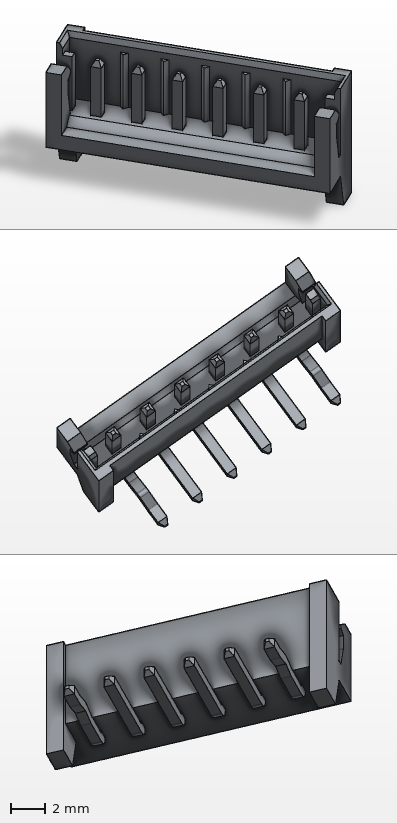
import cadquery as cq
import math


length = 17.5
overall_height = 8.3
base_bottom = 2.3
floor_height = 3.8
front_floor = 3.27
wall_front = 2.05
wall_rear = 3.83
lug_rear = 4.2
lug_width = 1.07
foot_tip_front = 2.66

end_wall = 0.38
back_wall = 0.42
rim_chamfer_height = 0.37
rim_side_width = 0.2
rim_rear_width = 0.15

bevel_rear = 1.52
bevel_run = floor_height - front_floor

post_width = 0.96
post_top = 7.4
post_lead_in = 1.05
nose_depth = 1.72
nose_top = 6.82
nose_bottom = 6.53
neck_depth = 1.31
neck_top = 6.3
neck_bottom = 5.3

rib_top = 7.49
guide_rear = 2.73
guide_bevel = 0.21
key_half_width = 0.25
key_depth = 0.26

pin_count = 6
pitch = 2.5
pin_size = 0.65
pin_front = 1.87
pin_top = 7.49
tail_bottom = 1.47
tail_end = 7.5
tip_length = 0.37
tip_size = 0.23
kink_centre = 5.2
kink_rise = 0.23
kink_angle = math.radians(14)

pin_rear = pin_front + pin_size
tail_top = tail_bottom + pin_size
pin_xs = [(i - (pin_count - 1) / 2) * pitch for i in range(pin_count)]
key_xs = [(left + right) / 2 for left, right in zip(pin_xs, pin_xs[1:])]
cavity_rear = wall_rear - back_wall
half_length = length / 2


def box(x0, x1, y0, y1, z0, z1):
    return cq.Workplane("XY").box(x1 - x0, y1 - y0, z1 - z0, centered=False).translate((x0, y0, z0))


def extrude_yz(profile, x0, x1):
    """Extrude a closed Y-Z profile from x0 to x1."""
    return profile.extrude(x1 - x0).translate((x0, 0, 0))


def on_both_ends(left_piece):
    return left_piece.union(left_piece.mirror("YZ"))


def shell():
    """Base and surrounding walls, open at the top and at the front."""
    block = box(-half_length, half_length, wall_front, wall_rear, base_bottom, overall_height)
    inner = half_length - end_wall
    cavity = box(-inner, inner, wall_front, cavity_rear, floor_height, overall_height)
    return block.cut(cavity).cut(rim_chamfer())


def rim_chamfer():
    """Tapered cutter that widens the cavity mouth, centred on the front edge of the end walls."""
    mouth_length = length - 2 * end_wall
    mouth_depth = 2 * (cavity_rear - wall_front)
    return (
        cq.Workplane("XY", origin=(0, wall_front, overall_height - rim_chamfer_height))
        .rect(mouth_length, mouth_depth)
        .workplane(offset=rim_chamfer_height)
        .rect(mouth_length + 2 * rim_side_width, mouth_depth + 2 * rim_rear_width)
        .loft()
    )


def front_base():
    """Base ahead of the pins, with a bevel down to its lower front step."""
    profile = cq.Workplane("YZ").polyline([
        (0, base_bottom),
        (0, front_floor),
        (bevel_rear - bevel_run, front_floor),
        (bevel_rear, floor_height),
        (wall_front, floor_height),
        (wall_front, base_bottom),
    ]).close()
    return extrude_yz(profile, -half_length, half_length)


def latch_posts():
    profile = cq.Workplane("YZ").polyline([
        (0, base_bottom),
        (0, post_top),
        (post_lead_in, post_top),
        (nose_depth, nose_top),
        (nose_depth, nose_bottom),
        (neck_depth, neck_top),
        (neck_depth, neck_bottom),
        (nose_depth, floor_height),
        (nose_depth, base_bottom),
    ]).close()
    return on_both_ends(extrude_yz(profile, -half_length, -half_length + post_width))


def corner_lugs():
    """Rear corner pads that run down into the tapered feet."""
    pad = box(-half_length, -half_length + lug_width, wall_rear, lug_rear, base_bottom, overall_height)
    foot_profile = cq.Workplane("YZ").polyline([
        (wall_front, base_bottom),
        (lug_rear, base_bottom),
        (lug_rear, 0),
        (foot_tip_front, 0),
    ]).close()
    foot = extrude_yz(foot_profile, -half_length, -half_length + lug_width)
    return on_both_ends(pad.union(foot))


def guide_ribs():
    """Ribs on the inside of the end walls, bevelled at the top rear edge."""
    profile = cq.Workplane("YZ").polyline([
        (wall_front, floor_height),
        (guide_rear, floor_height),
        (guide_rear, rib_top - guide_bevel),
        (guide_rear - guide_bevel, rib_top),
        (wall_front, rib_top),
    ]).close()
    return on_both_ends(extrude_yz(profile, -half_length + end_wall, -half_length + post_width))


def key_rib(x):
    """Triangular rib on the back wall, midway between two pins."""
    return (
        cq.Workplane("XY", origin=(x, cavity_rear, floor_height))
        .polyline([(-key_half_width, 0), (0, -key_depth), (key_half_width, 0)])
        .close()
        .extrude(rib_top - floor_height)
    )


def pin_hole(x):
    half = pin_size / 2
    return box(x - half, x + half, pin_front, pin_rear, base_bottom, floor_height)


def make_housing():
    housing = shell().union(front_base()).union(latch_posts()).union(corner_lugs()).union(guide_ribs())
    for x in key_xs:
        housing = housing.union(key_rib(x))
    for x in pin_xs:
        housing = housing.cut(pin_hole(x))
    return housing


def pin_tip(plane):
    """Frustum that tapers the end of a pin, starting at the origin of the given plane."""
    return (
        cq.Workplane(plane)
        .rect(pin_size, pin_size)
        .workplane(offset=tip_length)
        .rect(tip_size, tip_size)
        .loft()
    )


def pin_profile(kinked):
    """Side outline of a pin without its tips: upright, rounded bend and rearward tail."""
    upright_end = pin_top - tip_length
    tail_shoulder = tail_end - tip_length
    bend_reach = pin_size * math.sqrt(0.5)
    outline = cq.Workplane("YZ").moveTo(pin_rear, tail_top)
    if kinked:
        outline = kink_top(outline)
    outline = outline.lineTo(tail_shoulder, tail_top).lineTo(tail_shoulder, tail_bottom)
    if kinked:
        half_notch = kink_rise / math.tan(kink_angle)
        outline = (
            outline.lineTo(kink_centre + half_notch, tail_bottom)
            .lineTo(kink_centre, tail_bottom + kink_rise)
            .lineTo(kink_centre - half_notch, tail_bottom)
        )
    return (
        outline.lineTo(pin_rear, tail_bottom)
        .threePointArc((pin_rear - bend_reach, tail_top - bend_reach), (pin_front, tail_top))
        .lineTo(pin_front, upright_end)
        .lineTo(pin_rear, upright_end)
        .close()
    )


def kink_top(outline):
    """Add the raised upper edge of the kink: two slopes joined by an arc about the lower apex."""
    apex = tail_bottom + kink_rise
    arc_reach = pin_size * math.sin(kink_angle)
    arc_end = apex + pin_size * math.cos(kink_angle)
    slope_reach = arc_reach + (arc_end - tail_top) / math.tan(kink_angle)
    return (
        outline.lineTo(kink_centre - slope_reach, tail_top)
        .lineTo(kink_centre - arc_reach, arc_end)
        .threePointArc((kink_centre, apex + pin_size), (kink_centre + arc_reach, arc_end))
        .lineTo(kink_centre + slope_reach, tail_top)
    )


def make_pin(x, kinked):
    half = pin_size / 2
    upper_tip = pin_tip(cq.Plane((0, pin_front + half, pin_top - tip_length), (1, 0, 0), (0, 0, 1)))
    tail_tip = pin_tip(cq.Plane((0, tail_end - tip_length, tail_bottom + half), (1, 0, 0), (0, 1, 0)))
    body = extrude_yz(pin_profile(kinked), -half, half)
    return body.union(upper_tip).union(tail_tip).translate((x, 0, 0))


housing = make_housing()
pins = [make_pin(x, kinked=x in (pin_xs[0], pin_xs[-1])) for x in pin_xs]

result = cq.Compound.makeCompound([housing.val(), *[pin.val() for pin in pins]])